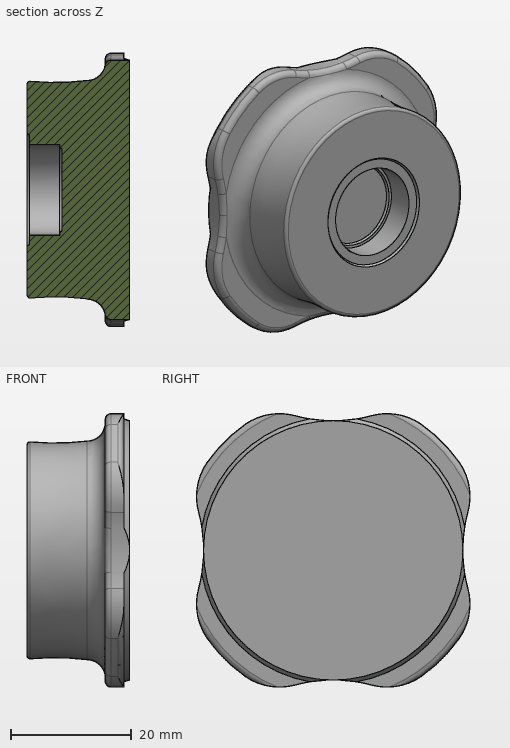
import cadquery as cq
import math

collar_end_x = 9.95
flange_front_x = 12.95
flange_back_x = 16.05
overall_length = 17.0

collar_front_r = 18.0
collar_waist_r = 17.8
collar_end_r = 18.12
collar_edge_round = 0.55

cove_r = flange_front_x - collar_end_x

valley_count = 4
flange_r = 25.45
flange_half_width = 22.65
lobe_r = 9.95
valley_bottom = 21.48
flange_edge_round = 1.0

back_disc_base_r = 22.1
back_disc_end_r = valley_bottom

counterbore_mouth_r = 9.35
counterbore_floor_r = 9.05
counterbore_depth = 0.4
bore_r = 15.0 / 2
bore_depth = 5.0
recess_mouth_r = 7.02
recess_floor_r = 6.8
recess_depth = 0.4


def point_on_circle(centre, radius, angle):
    return (centre[0] + radius * math.cos(angle), centre[1] + radius * math.sin(angle))


def rotate_quarter_turns(point, turns):
    y, z = point
    for _ in range(turns):
        y, z = -z, y
    return (y, z)


def revolve_about_x(profile):
    """Revolve a closed profile drawn as (x, radius) around the X axis."""
    return profile.close().revolve(360, (0, 0, 0), (1, 0, 0))


def flange_outline():
    """Four-lobed outline in the YZ plane, with every arc tangent to the next."""
    lobe_z = flange_half_width - lobe_r
    lobe_y = math.sqrt((flange_r - lobe_r) ** 2 - lobe_z**2)

    rise = valley_bottom - lobe_z
    valley_r = (lobe_y**2 + rise**2 - lobe_r**2) / (2 * (lobe_r - rise))
    valley_z = valley_bottom + valley_r

    lobe = (lobe_y, lobe_z)
    rim_angle = math.atan2(lobe_z, lobe_y)
    valley_angle = math.atan2(valley_z - lobe_z, -lobe_y)
    rim_end = point_on_circle(lobe, lobe_r, rim_angle)
    lobe_middle = point_on_circle(lobe, lobe_r, (rim_angle + valley_angle) / 2)
    valley_start = point_on_circle(lobe, lobe_r, valley_angle)
    rim_middle = point_on_circle((0, 0), flange_r, math.pi / valley_count)

    outline = cq.Workplane("YZ").moveTo(rim_end[1], rim_end[0])
    for turns in range(valley_count):
        arcs = [
            (rim_middle, rim_end),
            (lobe_middle, valley_start),
            ((0, valley_bottom), (-valley_start[0], valley_start[1])),
            ((-lobe_middle[0], lobe_middle[1]), (-rim_end[0], rim_end[1])),
        ]
        for middle, end in arcs:
            outline = outline.threePointArc(
                rotate_quarter_turns(middle, turns), rotate_quarter_turns(end, turns)
            )
    return outline.close()


def flange():
    """Lobed plate, cut to the rounded, stepped and tapered shape of its back."""
    plate = flange_outline().extrude(overall_length - flange_front_x)
    plate = plate.translate((flange_front_x, 0, 0))
    envelope = revolve_about_x(
        cq.Workplane("XY")
        .moveTo(flange_front_x, 0)
        .lineTo(flange_front_x, flange_r)
        .lineTo(flange_back_x - flange_edge_round, flange_r)
        .radiusArc((flange_back_x, flange_r - flange_edge_round), flange_edge_round)
        .lineTo(flange_back_x, back_disc_base_r)
        .lineTo(overall_length, back_disc_end_r)
        .lineTo(overall_length, 0)
    )
    return plate.intersect(envelope)


def collar():
    """Waisted collar with a rounded front edge and a cove down to the flange."""
    waist_x = (collar_edge_round + collar_end_x) / 2
    cove_end_r = collar_end_r + cove_r
    cove_middle = point_on_circle((collar_end_x, cove_end_r), cove_r, -math.pi / 4)
    return revolve_about_x(
        cq.Workplane("XY")
        .lineTo(0, collar_front_r - collar_edge_round)
        .radiusArc((collar_edge_round, collar_front_r), collar_edge_round)
        .threePointArc((waist_x, collar_waist_r), (collar_end_x, collar_end_r))
        .threePointArc(cove_middle, (flange_front_x, cove_end_r))
        .lineTo(flange_front_x + flange_edge_round, 0)
    )


def bore():
    ledge_x = counterbore_depth + bore_depth
    floor_x = ledge_x + recess_depth
    return revolve_about_x(
        cq.Workplane("XY")
        .lineTo(0, counterbore_mouth_r)
        .lineTo(counterbore_depth, counterbore_floor_r)
        .lineTo(counterbore_depth, bore_r)
        .lineTo(ledge_x, bore_r)
        .lineTo(ledge_x, recess_mouth_r)
        .lineTo(floor_x, recess_floor_r)
        .lineTo(floor_x, 0)
    )


def round_flange_front(body):
    """Round the outer edge of the flange's front face, running into the cove at the valleys."""
    nearest_to_front = cq.selectors.NearestToPointSelector((flange_front_x, 0, 0))
    front_face = body.faces("%PLANE").faces(nearest_to_front)
    outer_edges = front_face.val().outerWire().Edges()
    return body.newObject(outer_edges).fillet(flange_edge_round)


body = round_flange_front(collar().union(flange()))
result = body.cut(bore())